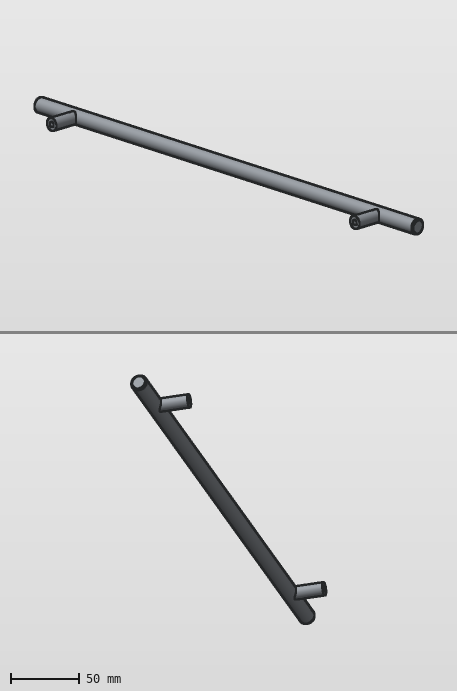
import cadquery as cq
import math

bar_length = 400.0
bar_diameter = 12.0
end_chamfer = 1.0
post_diameter = 10.0
post_spacing = 320.0
overall_depth = 32.0
hole_diameter = 4.0
hole_depth = 12.0
drill_point_angle = 118.0

post_face_y = bar_diameter / 2 - overall_depth


def make_bar():
    """Round bar along X with chamfered ends."""
    bar = cq.Workplane("YZ", origin=(-bar_length / 2, 0, 0)).circle(bar_diameter / 2).extrude(bar_length)
    return bar.faces("<X or >X").chamfer(end_chamfer)


def make_post(x):
    """Round post from its end face to the bar axis."""
    return cq.Workplane("XZ", origin=(x, 0, 0)).circle(post_diameter / 2).extrude(-post_face_y)


def make_screw_hole(x):
    """Blind hole with a conical drill point, entering at the post end face."""
    radius = hole_diameter / 2
    point_length = radius / math.tan(math.radians(drill_point_angle / 2))
    half_profile = (
        cq.Workplane("XY", origin=(x, post_face_y, 0))
        .lineTo(radius, 0)
        .lineTo(radius, hole_depth)
        .lineTo(0, hole_depth + point_length)
        .close()
    )
    return half_profile.revolve(360, (0, 0, 0), (0, 1, 0))


result = make_bar()
for post_x in (-post_spacing / 2, post_spacing / 2):
    result = result.union(make_post(post_x))
    result = result.cut(make_screw_hole(post_x))